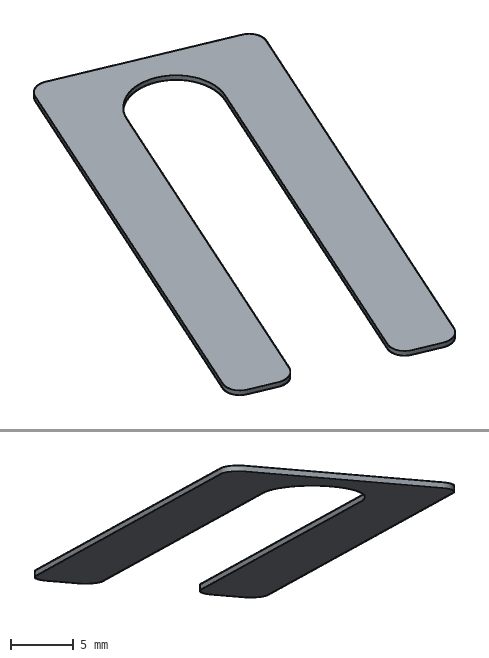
import cadquery as cq

length = 44.0
width = 20.0
thickness = 0.5
corner_radius = 1.5

slot_width = 8.5
web = 2.75
slot_radius = slot_width / 2
slot_center_x = -length / 2 + web + slot_radius
slot_straight = length / 2 - slot_center_x

plate = cq.Workplane("XY").box(length, width, thickness)

slot_end = (
    cq.Workplane("XY")
    .center(slot_center_x, 0)
    .circle(slot_radius)
    .extrude(thickness, both=True)
)
slot_channel = (
    cq.Workplane("XY")
    .center(slot_center_x + slot_straight / 2, 0)
    .rect(slot_straight, slot_width)
    .extrude(thickness, both=True)
)
fork = plate.cut(slot_end.union(slot_channel))

result = (
    fork.edges("|Z and (<X or >X)")
    .fillet(corner_radius)
)